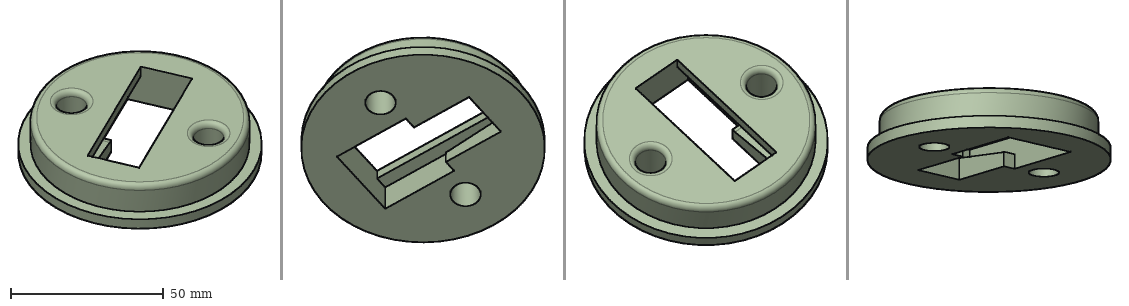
import cadquery as cq

flange_diameter = 80.0
flange_thickness = 4.0
boss_diameter = 72.0
total_height = 15.0
edge_radius = 2.0

hole_diameter = 10.0
hole_offset = 24.0

window_width = 18.0
window_length = 50.0

lip_thickness = 4.0
pocket_side_depth = 4.6
pocket_width = window_width + 2 * pocket_side_depth
ledge_start = -2.8
ledge_height = 5.0
ledge_flat_length = 1.2
ledge_rise = 2.4


def make_body():
    """Flange and boss, with a rounded upper edge on the boss."""
    flange = cq.Workplane("XY").circle(flange_diameter / 2).extrude(flange_thickness)
    boss = cq.Workplane("XY").circle(boss_diameter / 2).extrude(total_height)
    return flange.union(boss.faces(">Z").edges().fillet(edge_radius))


def cut_screw_holes(body):
    """Two through holes with rounded mouths at the top."""
    drilled = (
        body.faces(">Z").workplane(origin=(0, 0, total_height))
        .pushPoints([(-hole_offset, 0), (hole_offset, 0)])
        .hole(hole_diameter)
    )
    hole_rims = drilled.faces(">Z").edges(cq.selectors.RadiusNthSelector(0))
    return hole_rims.fillet(edge_radius)


def make_window():
    return cq.Workplane("XY").rect(window_width, window_length).extrude(total_height)


def make_pocket():
    """Side profile open below at +Y and bounded by the sloping ledge at -Y."""
    end = window_length / 2
    ceiling = total_height - lip_thickness
    profile = [
        (end, 0),
        (end, ceiling),
        (-end, ceiling),
        (-end, ledge_height + ledge_rise),
        (ledge_start - ledge_flat_length, ledge_height),
        (ledge_start, ledge_height),
        (ledge_start, 0),
    ]
    return cq.Workplane("YZ").polyline(profile).close().extrude(pocket_width / 2, both=True)


result = cut_screw_holes(make_body()).cut(make_window()).cut(make_pocket())